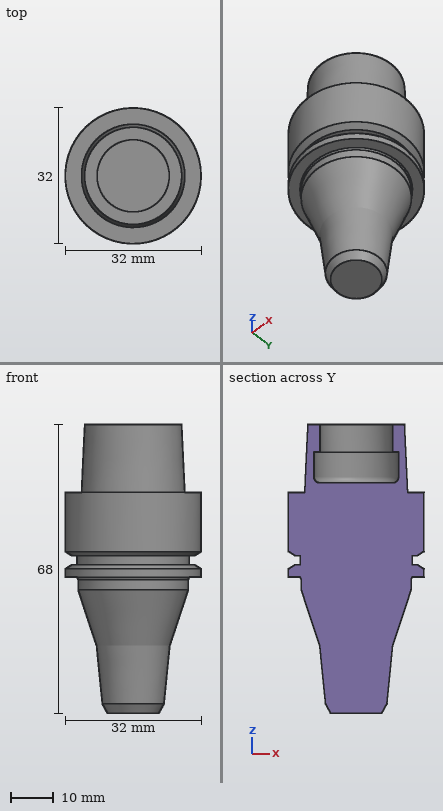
import cadquery as cq

total_height = 68.0

shank_height = 16.0
shank_top_radius = 11.4
shank_base_radius = 12.2
bore_radius = 8.5
bore_depth = 6.5
recess_radius = 9.9
recess_height = 7.2
recess_fillet = 1.35

collar_diameter = 32.0
collar_height = 20.0
groove_radius = 13.25
groove_lip_radius = 14.4
groove_lip_height = 1.0
groove_width = 2.05
flange_rim_height = 2.0

neck_radius = 13.0
relief_height = 0.55
relief_radius = 13.25
shoulder_z = 29.05
waist_radius = 8.65
waist_z = 15.9
nose_radius = 7.3
nose_chamfer_height = 2.25
tip_radius = 6.05

collar_radius = collar_diameter / 2
recess_top_z = total_height - bore_depth
recess_floor_z = recess_top_z - recess_height
collar_top_z = total_height - shank_height
collar_base_z = collar_top_z - collar_height
flange_rim_z = collar_base_z + flange_rim_height
groove_base_z = flange_rim_z + groove_lip_height
groove_top_z = groove_base_z + groove_width
upper_rim_z = groove_top_z + groove_lip_height


def turned_body():
    """Solid of revolution with the complete outer profile."""
    profile = [
        (0, 0),
        (tip_radius, 0),
        (nose_radius, nose_chamfer_height),
        (waist_radius, waist_z),
        (neck_radius, shoulder_z),
        (neck_radius, collar_base_z - relief_height),
        (relief_radius, collar_base_z),
        (collar_radius, collar_base_z),
        (collar_radius, flange_rim_z),
        (groove_lip_radius, groove_base_z),
        (groove_radius, groove_base_z),
        (groove_radius, groove_top_z),
        (groove_lip_radius, groove_top_z),
        (collar_radius, upper_rim_z),
        (collar_radius, collar_top_z),
        (shank_base_radius, collar_top_z),
        (shank_top_radius, total_height),
        (0, total_height),
    ]
    return cq.Workplane("XZ").polyline(profile).close().revolve(360, (0, 0), (0, 1))


def shank_cavity():
    """Blind bore that widens into a recess with a rounded floor corner."""
    bore = cq.Workplane("XY", origin=(0, 0, recess_top_z)).circle(bore_radius).extrude(bore_depth)
    recess = cq.Workplane("XY", origin=(0, 0, recess_floor_z)).circle(recess_radius).extrude(recess_height)
    recess = recess.faces("<Z").edges().fillet(recess_fillet)
    return bore.union(recess)


result = turned_body().cut(shank_cavity())